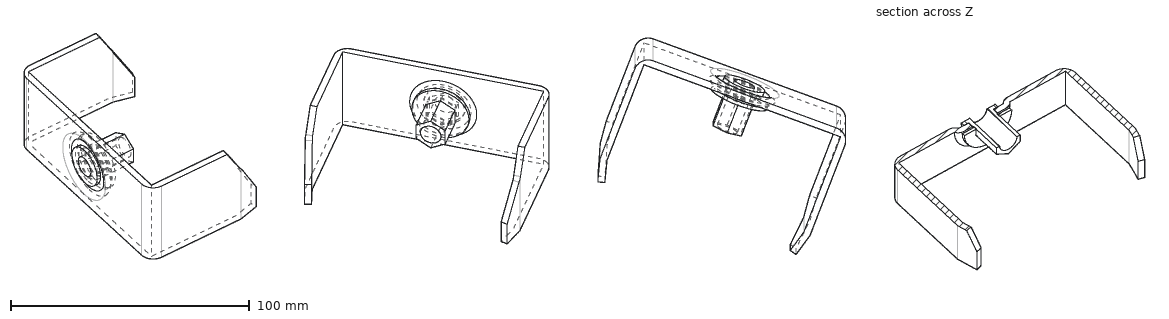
import cadquery as cq
import math

WIDTH = 94.0
DEPTH = 57.0
HEIGHT = 40.0
THICKNESS = 3.0
CORNER_RADIUS = 6.0

BEND_START = 46.4
BEND_ANGLE = 15.0
BEND_INNER_RADIUS = 3.0
BEND_OUTER_RADIUS = BEND_INNER_RADIUS + THICKNESS
BEND_MID_RADIUS = BEND_INNER_RADIUS + THICKNESS / 2
BEND_SIN = math.sin(math.radians(BEND_ANGLE))
BEND_COS = math.cos(math.radians(BEND_ANGLE))
LIP_LENGTH = (DEPTH - BEND_START - BEND_OUTER_RADIUS * BEND_SIN) / BEND_COS

SLOPE_START = 40.1
SLOPE = math.tan(math.radians(60))
BEND_LENGTH = BEND_MID_RADIUS * math.radians(BEND_ANGLE)
BEND_START_HEIGHT = HEIGHT - SLOPE * (BEND_START - SLOPE_START)
BEND_END_HEIGHT = BEND_START_HEIGHT - SLOPE * BEND_LENGTH
LIP_END_HEIGHT = BEND_END_HEIGHT - SLOPE * LIP_LENGTH

DISH_DEPTH = 2.0
DISH_MOUTH_RADIUS = 15.3
DISH_BACK_RADIUS = 14.7
DISH_ROUNDING = 4.0
DISH_ROUNDING_WIDTH = math.sqrt(DISH_ROUNDING**2 - (DISH_ROUNDING - DISH_DEPTH) ** 2)
DISH_BACK = THICKNESS + DISH_DEPTH

HEX_ACROSS_FLATS = 12.7
HEX_ACROSS_CORNERS = HEX_ACROSS_FLATS / math.cos(math.radians(30))
SLEEVE_END = 21.0
HEAD_DIAMETER = 18.0
HEAD_THICKNESS = 1.8
HEAD_START = DISH_DEPTH - HEAD_THICKNESS
BORE_DIAMETER = 9.0

WASHER_DIAMETER = 25.0
WASHER_THICKNESS = 1.6
WASHER_GAP = 0.5
WASHER_START = DISH_BACK + WASHER_GAP


def axial_plane(y):
    """Plane across the sleeve axis, with its normal along +Y."""
    return cq.Workplane(cq.Plane((0, y, HEIGHT / 2), xDir=(1, 0, 0), normal=(0, 1, 0)))


def disc(diameter, start, length):
    return axial_plane(start).circle(diameter / 2).extrude(length)


def hexagon(start, length):
    """Hexagonal prism with corners pointing up and down."""
    outline = axial_plane(start).transformed(rotate=(0, 0, 90)).polygon(6, HEX_ACROSS_CORNERS)
    return outline.extrude(length)


def revolve_about_sleeve_axis(outline):
    """Turn an outline of (radius, y) about the sleeve axis."""
    return outline.close().revolve(360, (0, 0, 0), (0, 1, 0)).translate((0, 0, HEIGHT / 2))


def make_channel():
    """Front wall and two side walls, with rounded outer and sharp inner corners."""
    outer = (
        cq.Workplane("XY")
        .rect(WIDTH, 2 * BEND_START)
        .extrude(HEIGHT)
        .translate((0, BEND_START, 0))
        .edges("|Z and <Y")
        .fillet(CORNER_RADIUS)
    )
    inside = (
        cq.Workplane("XY", origin=(0, THICKNESS, 0))
        .rect(WIDTH - 2 * THICKNESS, 2 * DEPTH)
        .extrude(HEIGHT)
        .translate((0, DEPTH, 0))
    )
    beyond_bend = cq.Workplane("XY").box(WIDTH, DEPTH, HEIGHT, centered=(True, False, False))
    slope_cut = (
        cq.Workplane("YZ")
        .moveTo(SLOPE_START, HEIGHT)
        .lineTo(BEND_START, BEND_START_HEIGHT)
        .lineTo(BEND_START, HEIGHT)
        .close()
        .extrude(WIDTH / 2, both=True)
    )
    return outer.cut(inside).cut(beyond_bend.translate((0, BEND_START, 0))).cut(slope_cut)


def sheet_section(plane, inner_radius, outer_radius, height):
    """Upright rectangular wire between two distances from the bend axis."""
    corners = [(inner_radius, 0), (outer_radius, 0), (outer_radius, height), (inner_radius, height)]
    return cq.Wire.makePolygon([plane.toWorldCoords(corner) for corner in corners], close=True)


def around_bend_axis(radius, angle):
    """Plan point at a distance from the bend axis, turned from the side wall by an angle."""
    turn = math.radians(angle)
    return (-radius * math.cos(turn), radius * math.sin(turn))


def make_left_lip():
    """Bend and flat lip that continue the side wall at -X."""
    axis_x = -WIDTH / 2 + BEND_OUTER_RADIUS
    lip_direction = cq.Vector(BEND_SIN, BEND_COS, 0)
    outward = (-BEND_COS, BEND_SIN, 0)
    bend_axis = cq.Vector(axis_x, BEND_START, 0)
    start_plane = cq.Plane(bend_axis, xDir=(-1, 0, 0), normal=(0, 1, 0))
    bend_plane = cq.Plane(bend_axis, xDir=outward, normal=lip_direction)
    end_plane = cq.Plane(bend_axis + lip_direction * LIP_LENGTH, xDir=outward, normal=lip_direction)

    lip = cq.Solid.makeLoft(
        [
            sheet_section(bend_plane, BEND_INNER_RADIUS, BEND_OUTER_RADIUS, BEND_END_HEIGHT),
            sheet_section(end_plane, BEND_INNER_RADIUS, BEND_OUTER_RADIUS, LIP_END_HEIGHT),
        ],
        True,
    )

    wedge_inner = BEND_INNER_RADIUS / 2
    wedge_outer = BEND_OUTER_RADIUS * 2
    wedge = cq.Solid.makeLoft(
        [
            sheet_section(start_plane, wedge_inner, wedge_outer, BEND_START_HEIGHT),
            sheet_section(bend_plane, wedge_inner, wedge_outer, BEND_END_HEIGHT),
        ],
        True,
    )
    corner_stretch = 1 / math.cos(math.radians(BEND_ANGLE / 2))
    bend = (
        cq.Workplane("XY", origin=bend_axis.toTuple())
        .polyline(
            [
                around_bend_axis(BEND_INNER_RADIUS, 0),
                around_bend_axis(BEND_OUTER_RADIUS, 0),
                around_bend_axis(BEND_OUTER_RADIUS * corner_stretch, BEND_ANGLE / 2),
                around_bend_axis(BEND_OUTER_RADIUS, BEND_ANGLE),
                around_bend_axis(BEND_INNER_RADIUS, BEND_ANGLE),
                around_bend_axis(BEND_INNER_RADIUS * corner_stretch, BEND_ANGLE / 2),
            ]
        )
        .close()
        .extrude(HEIGHT)
        .intersect(cq.Workplane(wedge))
    )
    return bend.union(cq.Workplane(lip))


def rounding_middle(sign):
    """Offset (radius, y) from the tangent end of a dish rounding to the middle of its arc."""
    half_angle = math.acos(1 - DISH_DEPTH / DISH_ROUNDING) / 2
    return (
        -sign * DISH_ROUNDING * math.sin(half_angle),
        sign * DISH_ROUNDING * (1 - math.cos(half_angle)),
    )


def make_dish_recess():
    """Hollow on the front, its mouth rounded into the flat wall."""
    floor_radius = DISH_MOUTH_RADIUS - DISH_ROUNDING_WIDTH
    step_r, step_y = rounding_middle(1)
    return revolve_about_sleeve_axis(
        cq.Workplane("XY")
        .moveTo(0, 0)
        .lineTo(DISH_MOUTH_RADIUS, 0)
        .threePointArc((DISH_MOUTH_RADIUS + step_r, step_y), (floor_radius, DISH_DEPTH))
        .lineTo(0, DISH_DEPTH)
    )


def make_dish_bulge():
    """Raised disc on the back of the front wall, with a rounded rim."""
    flat_radius = DISH_BACK_RADIUS - DISH_ROUNDING_WIDTH
    step_r, step_y = rounding_middle(-1)
    return revolve_about_sleeve_axis(
        cq.Workplane("XY")
        .moveTo(0, DISH_DEPTH)
        .lineTo(DISH_BACK_RADIUS, DISH_DEPTH)
        .lineTo(DISH_BACK_RADIUS, THICKNESS)
        .threePointArc((flat_radius + step_r, DISH_BACK + step_y), (flat_radius, DISH_BACK))
        .lineTo(0, DISH_BACK)
    )


def make_bracket():
    left_lip = make_left_lip()
    bracket = make_channel().union(left_lip).union(left_lip.mirror("YZ"))
    bracket = bracket.union(make_dish_bulge()).cut(make_dish_recess())
    return bracket.cut(hexagon(DISH_DEPTH, THICKNESS))


def make_sleeve():
    head = disc(HEAD_DIAMETER, HEAD_START, HEAD_THICKNESS)
    shank = hexagon(DISH_DEPTH, SLEEVE_END - DISH_DEPTH)
    return head.union(shank).cut(disc(BORE_DIAMETER, 0, SLEEVE_END))


def make_washer():
    blank = disc(WASHER_DIAMETER, WASHER_START, WASHER_THICKNESS)
    return blank.cut(hexagon(WASHER_START, WASHER_THICKNESS))


bracket = make_bracket()
sleeve = make_sleeve()
washer = make_washer()

result = cq.Compound.makeCompound([bracket.val(), sleeve.val(), washer.val()])